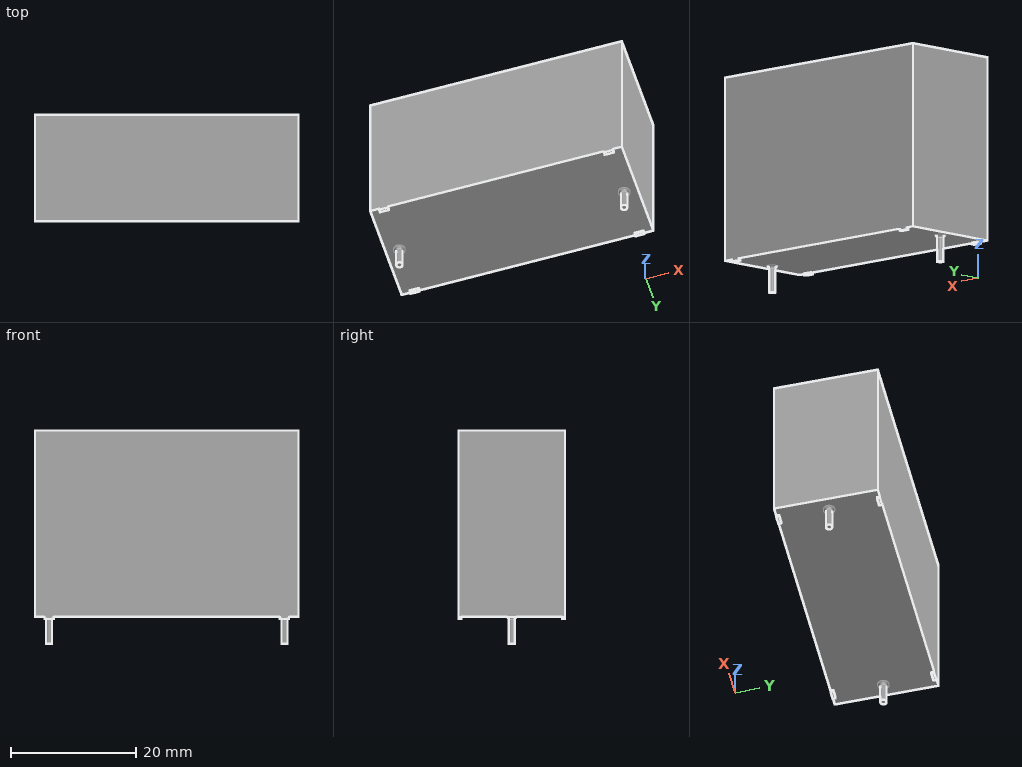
import cadquery as cq

LENGTH = 42.0
WIDTH = 17.0
TOTAL_HEIGHT = 34.0

FOOT_LENGTH = 1.5
FOOT_WIDTH = 0.5
FOOT_HEIGHT = 0.3

PIN_DIAMETER = 1.0
PIN_PITCH = 37.5
PIN_PROTRUSION = 4.0
SEAL_RADIUS = 0.4

PIN_LENGTH = PIN_PROTRUSION + FOOT_HEIGHT
BODY_HEIGHT = TOTAL_HEIGHT - PIN_LENGTH
PIN_RADIUS = PIN_DIAMETER / 2
PIN_XS = (-PIN_PITCH / 2, PIN_PITCH / 2)


def make_body():
    """Plain box whose underside lies on Z = 0."""
    return cq.Workplane("XY").box(LENGTH, WIDTH, BODY_HEIGHT, centered=(True, True, False))


def make_feet():
    """Four small feet under the body, flush with its long sides and in line with the pins."""
    foot_y = (WIDTH - FOOT_WIDTH) / 2
    centers = [(x, y) for x in PIN_XS for y in (-foot_y, foot_y)]
    return cq.Workplane("XY").pushPoints(centers).rect(FOOT_LENGTH, FOOT_WIDTH).extrude(-FOOT_HEIGHT)


def make_pin(x):
    """Lead pin revolved about its own axis, with the sealing fillet at its root."""
    profile = (
        cq.Workplane("XZ")
        .moveTo(0, 0)
        .lineTo(PIN_RADIUS + SEAL_RADIUS, 0)
        .radiusArc((PIN_RADIUS, -SEAL_RADIUS), -SEAL_RADIUS)
        .lineTo(PIN_RADIUS, -PIN_LENGTH)
        .lineTo(0, -PIN_LENGTH)
        .close()
    )
    return profile.revolve(360, (0, 0, 0), (0, 1, 0)).translate((x, 0, 0))


result = make_body().union(make_feet())
for pin_x in PIN_XS:
    result = result.union(make_pin(pin_x))